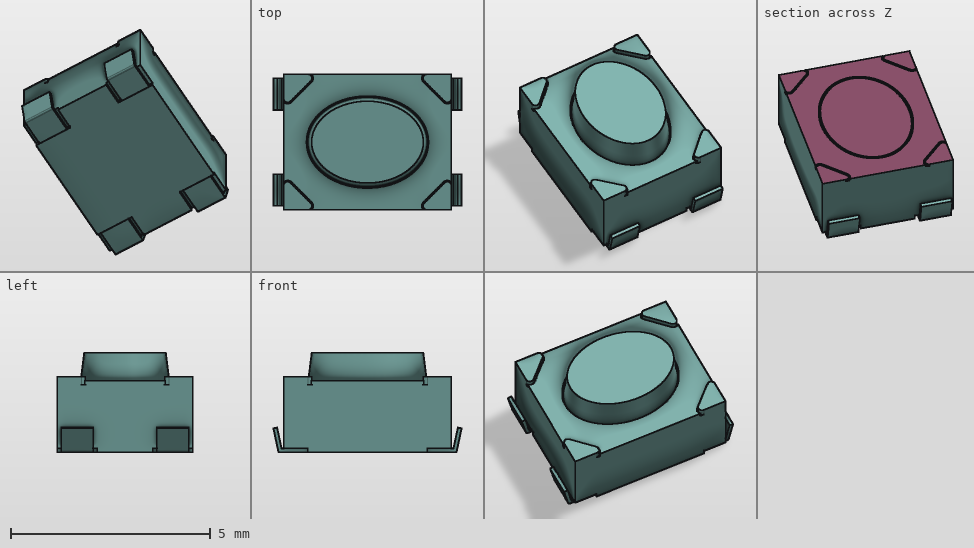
import cadquery as cq
import math

housing_length = 4.2
housing_width = 3.4
cover_top = 1.8
cover_thickness = 0.1
cover_underside = cover_top - cover_thickness
corner_pad_height = 0.1
pad_top = cover_top + corner_pad_height

pad_leg = 0.85
pad_round = 0.1
cover_gap = 0.03

button_foot_length = 3.0
button_foot_width = 2.25
button_taper = 0.1
button_top = 2.5

terminal_thickness = 0.1
terminal_width = 0.8
terminal_offset = 1.2
terminal_inner_end = 1.5
terminal_tip_reach = 2.36
terminal_tip_height = 0.627
terminal_lean = math.radians(12)
outer_bend_radius = 0.05
recess_clearance = 0.1

CORNERS = [(x_side, y_side) for x_side in (-1, 1) for y_side in (-1, 1)]


def corner_pad(x_side, y_side, growth):
    """Rounded triangle in a housing corner, grown outwards all round, up to the pad height."""
    x_corner = x_side * housing_length / 2
    y_corner = y_side * housing_width / 2
    triangle = [
        (x_corner, y_corner),
        (x_corner - x_side * pad_leg, y_corner),
        (x_corner, y_corner - y_side * pad_leg),
    ]
    pad = (
        cq.Workplane("XY", origin=(0, 0, cover_underside))
        .polyline(triangle)
        .close()
        .extrude(pad_top - cover_underside)
    )
    for x, y in triangle[1:]:
        corner_edge = cq.selectors.NearestToPointSelector((x, y, (cover_underside + pad_top) / 2))
        pad = pad.edges("|Z").edges(corner_edge).fillet(pad_round)
    if growth > 0:
        pad = (
            pad.faces("<Z")
            .wires()
            .toPending()
            .offset2D(growth)
            .extrude(pad_top - cover_underside)
        )
    return pad


def cover_opening():
    """Elliptical opening through the cover sheet, leaving a narrow gap round the button."""
    return (
        cq.Workplane("XY", origin=(0, 0, cover_underside))
        .ellipse(button_foot_length / 2 + cover_gap, button_foot_width / 2 + cover_gap)
        .extrude(cover_thickness)
    )


def button():
    """Tapered elliptical button rising from the floor of the cover opening."""
    return (
        cq.Workplane("XY", origin=(0, 0, cover_underside))
        .ellipse(button_foot_length / 2, button_foot_width / 2)
        .workplane(offset=button_top - cover_underside)
        .ellipse(button_foot_length / 2 - button_taper, button_foot_width / 2 - button_taper)
        .loft(ruled=True)
    )


def terminal_recess(x_side, y_side):
    """Recess in the underside of a housing corner that receives a terminal foot."""
    length = housing_length / 2 - terminal_inner_end
    width = terminal_width + 2 * recess_clearance
    return (
        cq.Workplane("XY")
        .center(x_side * (terminal_inner_end + length / 2), y_side * terminal_offset)
        .rect(length, width)
        .extrude(terminal_thickness)
    )


def make_housing():
    """Block with cover sheet, corner pads and button, recessed below for the terminals."""
    body = (
        cq.Workplane("XY")
        .rect(housing_length, housing_width)
        .extrude(cover_top)
        .cut(cover_opening())
        .union(button())
    )
    for x_side, y_side in CORNERS:
        body = (
            body.cut(corner_pad(x_side, y_side, cover_gap))
            .union(corner_pad(x_side, y_side, 0))
            .cut(terminal_recess(x_side, y_side))
        )
    return body


def make_terminal(x_side, y_side):
    """Flat foot under the housing with an arm bent up outside it, leaning outwards."""
    lean_slope = math.tan(terminal_lean)
    tip_drop = terminal_thickness * math.sin(terminal_lean)
    tip_depth = terminal_thickness * math.cos(terminal_lean)
    outer_tip = (terminal_tip_reach, terminal_tip_height - tip_drop)
    inner_tip = (terminal_tip_reach - tip_depth, terminal_tip_height)
    outer_bend_x = outer_tip[0] - outer_tip[1] * lean_slope
    inner_bend_x = inner_tip[0] - (inner_tip[1] - terminal_thickness) * lean_slope
    profile = [
        (terminal_inner_end, 0),
        (outer_bend_x, 0),
        outer_tip,
        inner_tip,
        (inner_bend_x, terminal_thickness),
        (terminal_inner_end, terminal_thickness),
    ]
    outer_bend = cq.selectors.NearestToPointSelector((x_side * outer_bend_x, y_side * terminal_offset, 0))
    return (
        cq.Workplane("XZ", origin=(0, y_side * terminal_offset, 0))
        .polyline([(x_side * x, z) for x, z in profile])
        .close()
        .extrude(terminal_width / 2, both=True)
        .edges("|Y")
        .edges(outer_bend)
        .fillet(outer_bend_radius)
    )


housing = make_housing()
terminals = [make_terminal(x_side, y_side) for x_side, y_side in CORNERS]

result = cq.Compound.makeCompound([housing.val(), *[terminal.val() for terminal in terminals]])